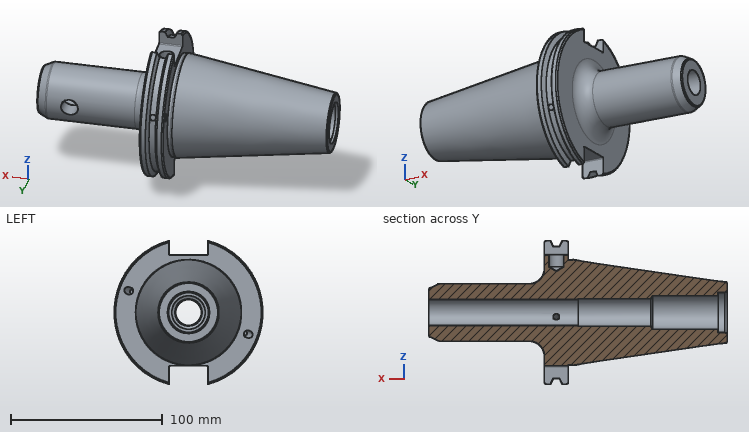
import cadquery as cq
import math

length = 196.9

taper_ratio = 7 / 24
gauge_diameter = 69.9
gauge_x = 101.6
taper_end_chamfer = 0.8
neck_diameter = 69.3
relief_x = 103.0

flange_diameter = 98.0
flange_x = 104.8
flange_width = 16.0
flange_chamfer = 1.0
groove_center_x = flange_x + flange_width / 2
groove_floor_diameter = 91.0
groove_floor_width = 4.1
groove_flank_width = 1.8

shank_diameter = 38.0
root_fillet = 9.8
shank_bevel_length = 6.5
shank_bevel_depth = 2.8
shank_bevel_blend = 2.0
shank_end_chamfer = 0.8

mouth_diameter = 27.8
mouth_depth = 1.8
counterbore_diameter = 26.2
counterbore_depth = 6.1
thread_diameter = 22.0
thread_depth = 49.2
clearance_diameter = 18.0
clearance_depth = 98.5
bore_diameter = 17.0

slot_width = 25.5
slot_corner_radius = 0.5
top_slot_floor = 38.0
bottom_slot_floor = 35.2
pit_diameter = 9.5
pit_depth = 7.9
drill_point_angle = 118.0

port_angle = 20.0
port_circle_radius = 42.0
port_slant = 33.0
port_diameter = 5.0
channel_diameter = 4.1
channel_end_radius = 43.3
plug_recess = 0.2
side_hole_diameter = 11.5
side_hole_x = 174.3


def turned_body():
    taper_end_radius = (gauge_diameter - taper_ratio * gauge_x) / 2
    neck_radius = neck_diameter / 2
    flange_radius = flange_diameter / 2
    flange_end_x = flange_x + flange_width
    floor_radius = groove_floor_diameter / 2
    floor_start = groove_center_x - groove_floor_width / 2
    floor_end = groove_center_x + groove_floor_width / 2
    shank_radius = shank_diameter / 2
    tip_radius = shank_radius - shank_bevel_depth
    shoulder_x = length - shank_bevel_length
    arc_step = root_fillet * (1 - math.sqrt(0.5))
    return (
        cq.Workplane("XY")
        .lineTo(0, taper_end_radius - taper_end_chamfer)
        .lineTo(taper_end_chamfer, taper_end_radius)
        .lineTo(gauge_x, gauge_diameter / 2)
        .lineTo(relief_x, neck_radius)
        .lineTo(flange_x, neck_radius)
        .lineTo(flange_x, flange_radius - flange_chamfer)
        .lineTo(flange_x + flange_chamfer, flange_radius)
        .lineTo(floor_start - groove_flank_width, flange_radius)
        .lineTo(floor_start, floor_radius)
        .lineTo(floor_end, floor_radius)
        .lineTo(floor_end + groove_flank_width, flange_radius)
        .lineTo(flange_end_x - flange_chamfer, flange_radius)
        .lineTo(flange_end_x, flange_radius - flange_chamfer)
        .lineTo(flange_end_x, shank_radius + root_fillet)
        .threePointArc(
            (flange_end_x + arc_step, shank_radius + arc_step),
            (flange_end_x + root_fillet, shank_radius),
        )
        .lineTo(shoulder_x, shank_radius)
        .lineTo(length - shank_end_chamfer, tip_radius)
        .lineTo(length, tip_radius - shank_end_chamfer)
        .lineTo(length, 0)
        .close()
        .revolve(360, (0, 0, 0), (1, 0, 0))
        .edges("%CIRCLE")
        .edges(cq.selectors.NearestToPointSelector((shoulder_x, 0, 0)))
        .fillet(shank_bevel_blend)
    )


def bore():
    thread_radius = thread_diameter / 2
    clearance_radius = clearance_diameter / 2
    cone_length = (thread_radius - clearance_radius) / math.tan(math.radians(drill_point_angle / 2))
    return (
        cq.Workplane("XY")
        .lineTo(0, mouth_diameter / 2)
        .lineTo(mouth_depth, counterbore_diameter / 2)
        .lineTo(counterbore_depth, counterbore_diameter / 2)
        .lineTo(counterbore_depth, thread_radius)
        .lineTo(thread_depth, thread_radius)
        .lineTo(thread_depth + cone_length, clearance_radius)
        .lineTo(clearance_depth, clearance_radius)
        .lineTo(clearance_depth, bore_diameter / 2)
        .lineTo(length, bore_diameter / 2)
        .lineTo(length, 0)
        .close()
        .revolve(360, (0, 0, 0), (1, 0, 0))
    )


def drive_slot(floor, side):
    height = flange_diameter
    floor_edges = "|X and <Z" if side > 0 else "|X and >Z"
    return (
        cq.Workplane("XY")
        .box(flange_width, slot_width, height)
        .edges(floor_edges)
        .fillet(slot_corner_radius)
        .translate((flange_x + flange_width / 2, 0, side * (floor + height / 2)))
    )


def drilled_pit():
    radius = pit_diameter / 2
    point = radius / math.tan(math.radians(drill_point_angle / 2))
    return (
        cq.Workplane("XZ")
        .lineTo(radius, point)
        .lineTo(radius, point + pit_depth)
        .lineTo(0, point + pit_depth)
        .close()
        .revolve(360, (0, 0, 0), (0, 1, 0))
        .translate((groove_center_x, 0, top_slot_floor - pit_depth - point))
    )


def radial_cylinder(start_radius, end_radius):
    return (
        cq.Workplane("XZ", origin=(groove_center_x, start_radius, 0))
        .circle(channel_diameter / 2)
        .extrude(start_radius - end_radius)
    )


def coolant_port(angle):
    """A slanted port in the flange face, the radial channel it feeds and the channel's flush plug."""
    slant = math.radians(port_slant)
    direction = cq.Vector(math.cos(slant), -math.sin(slant), 0)
    mouth = cq.Vector(flange_x, port_circle_radius, 0)
    inner_length = (groove_center_x - flange_x) / math.cos(slant)
    port = cq.Workplane(
        cq.Solid.makeCylinder(
            port_diameter / 2, inner_length + port_diameter, mouth - direction * port_diameter, direction
        )
    )
    channel = radial_cylinder(0, channel_end_radius)
    floor_radius = groove_floor_diameter / 2
    plug_face = radial_cylinder(floor_radius - plug_recess, floor_radius)
    return port.union(channel).union(plug_face).rotate((0, 0, 0), (1, 0, 0), angle)


def side_hole():
    return (
        cq.Workplane("XZ", origin=(side_hole_x, 0, 0))
        .circle(side_hole_diameter / 2)
        .extrude(-shank_diameter)
    )


result = turned_body()
result = result.cut(bore())
result = result.cut(drive_slot(top_slot_floor, 1))
result = result.cut(drive_slot(bottom_slot_floor, -1))
result = result.cut(drilled_pit())
for angle in (port_angle, port_angle + 180):
    result = result.cut(coolant_port(angle))
result = result.cut(side_hole())